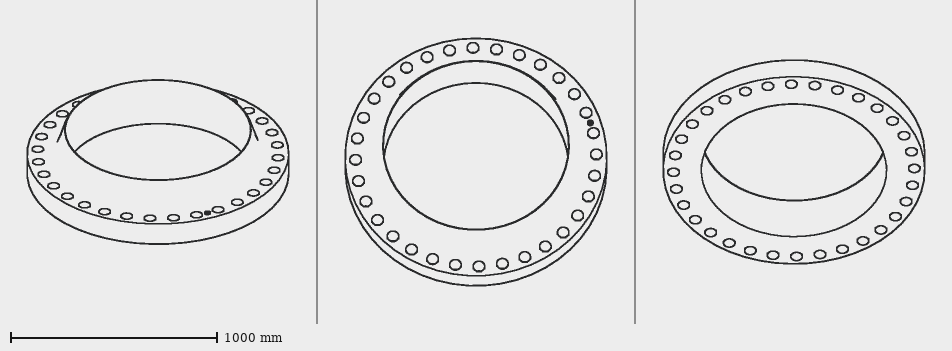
import cadquery as cq
import math

flange_diameter = 1270.0
flange_thickness = 117.0
total_height = 251.0
bore_diameter = 899.0

neck_base_diameter = 999.0
neck_top_diameter = 917.0
neck_root_fillet = 5.0
weld_bevel_height = 11.0
weld_land_width = 3.0

bolt_count = 32
bolt_circle_diameter = 1168.0
bolt_hole_diameter = 56.0

recess_step_diameters = (27.0, 19.0, 5.0)
recess_step_depth = 4.0


def ring_with_neck():
    """Revolve the half section of the ring and its tapered neck about Z."""
    flange_radius = flange_diameter / 2
    bore_radius = bore_diameter / 2
    return (
        cq.Workplane("XZ")
        .moveTo(bore_radius, 0)
        .lineTo(flange_radius, 0)
        .lineTo(flange_radius, flange_thickness)
        .lineTo(neck_base_diameter / 2, flange_thickness)
        .lineTo(neck_top_diameter / 2, total_height - weld_bevel_height)
        .lineTo(bore_radius + weld_land_width, total_height)
        .lineTo(bore_radius, total_height)
        .close()
        .revolve(360, (0, 0), (0, 1))
    )


def fillet_neck_root(body):
    """Round the inside corner where the neck meets the ring."""
    upper_face = body.faces("|Z").faces(">Z[-2]")
    return upper_face.edges(cq.selectors.RadiusNthSelector(0)).fillet(neck_root_fillet)


def bolt_holes():
    """Through holes spaced evenly on the bolt circle, the first on +X."""
    return (
        cq.Workplane("XY")
        .polarArray(bolt_circle_diameter / 2, 0, 360, bolt_count)
        .circle(bolt_hole_diameter / 2)
        .extrude(flange_thickness)
    )


def stepped_recess():
    """Blind recess in the ring's upper face, half a bolt pitch from +X."""
    angle = math.pi / bolt_count
    radius = bolt_circle_diameter / 2
    centre = (radius * math.cos(angle), radius * math.sin(angle), flange_thickness)
    recess = cq.Workplane("XY")
    for step, diameter in enumerate(recess_step_diameters, start=1):
        cylinder = (
            cq.Workplane("XY", origin=centre)
            .circle(diameter / 2)
            .extrude(-step * recess_step_depth)
        )
        recess = recess.add(cylinder)
    return recess.combine()


result = fillet_neck_root(ring_with_neck())
result = result.cut(bolt_holes())
result = result.cut(stepped_recess())